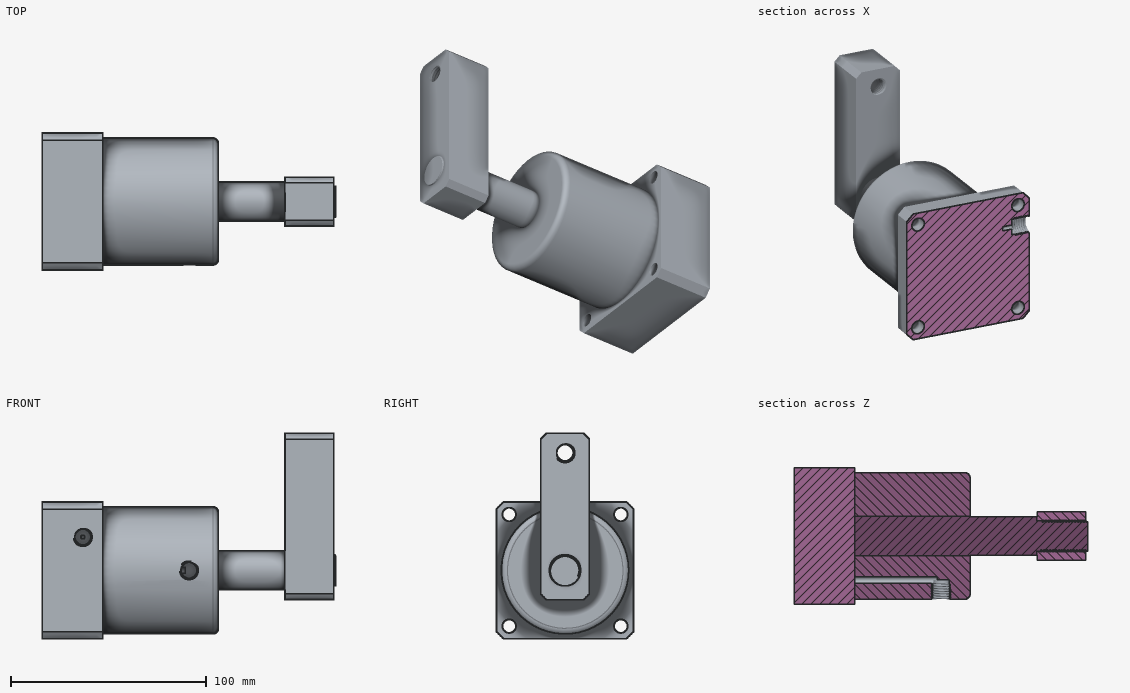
import cadquery as cq
import math

BLOCK_SIDE = 70.0
BLOCK_LENGTH = 31.0
BLOCK_CHAMFER = 3.7
BOLT_SPACING = 57.0
BOLT_HOLE_DIAMETER = 6.8

BARREL_DIAMETER = 65.0
BARREL_END = 90.0
BARREL_FILLET = 3.0

ROD_DIAMETER = 20.0

ARM_WIDTH = 25.0
ARM_START = 124.0
ARM_THICKNESS = 25.0
ARM_BOTTOM = -15.0
ARM_TOP = 70.0
ARM_CHAMFER = 3.0
ARM_HOLE_HEIGHT = 60.0

STUD_DIAMETER = 16.0
STUD_PITCH = 1.5
STUD_PROTRUSION = 1.0

TAP_DIAMETER = 10.0
TAP_PITCH = 1.5
TAP_START_ANGLE = 120.0

PORT_DIAMETER = 9.5
PORT_PITCH = 1.25
PORT_DEPTH = 10.0
BLOCK_PORT_X = 20.8
BLOCK_PORT_Z = 17.0
BARREL_PORT_X = 75.0
BLOCK_PASSAGE_DIAMETER = 2.0
BLOCK_PASSAGE_DEPTH = 5.0
BARREL_PASSAGE_DIAMETER = 3.0
BARREL_PASSAGE_END = 73.0

THREAD_DEPTH_RATIO = 0.54
ROOT_WIDTH_RATIO = 0.125
MOUTH_WIDTH_RATIO = 0.8
MOUTH_OVERCUT = 0.1
RUNOUT_RATIO = 0.35

ARM_END = ARM_START + ARM_THICKNESS
STUD_END = ARM_END + STUD_PROTRUSION


def cylinder(diameter, start, length, direction):
    return cq.Solid.makeCylinder(diameter / 2, length, cq.Vector(*start), cq.Vector(*direction))


def minor_diameter(major, pitch):
    return major - 2 * THREAD_DEPTH_RATIO * pitch


def thread_groove(narrow_radius, mouth_radius, pitch, length):
    """Helical V groove along +Z from the origin, narrow at one radius and open at the other."""
    outward = math.copysign(1.0, mouth_radius - narrow_radius)
    narrow_half = pitch * ROOT_WIDTH_RATIO / 2
    mouth_half = pitch * MOUTH_WIDTH_RATIO / 2
    path = cq.Wire.makeHelix(pitch, length, narrow_radius)
    profile = cq.Workplane("XZ").polyline([
        (narrow_radius, -narrow_half),
        (mouth_radius + outward * MOUTH_OVERCUT, -mouth_half),
        (mouth_radius + outward * MOUTH_OVERCUT, mouth_half),
        (narrow_radius, narrow_half),
    ]).close()
    return profile.sweep(cq.Workplane(path), isFrenet=True)


def cut_tapped_hole(body, start, plane_x, direction, diameter, pitch, depth, groove_length):
    """Cut the helical thread to the major diameter, then drill the core at the minor diameter."""
    minor = minor_diameter(diameter, pitch)
    axis = cq.Vector(*direction)
    mouth = cq.Vector(*start)
    groove = thread_groove(diameter / 2, minor / 2, pitch, pitch + groove_length)
    plane = cq.Plane(mouth - axis * pitch, plane_x, direction)
    groove_solid = groove.val().moved(cq.Location(plane))
    core = cylinder(minor, start, depth, direction)
    return body.cut(cq.Workplane(groove_solid)).cut(cq.Workplane(core))


def make_block():
    block = (
        cq.Workplane("YZ").rect(BLOCK_SIDE, BLOCK_SIDE).extrude(BLOCK_LENGTH)
        .edges("|X").chamfer(BLOCK_CHAMFER)
        .faces("<X").workplane(origin=(0, 0, 0))
        .rect(BOLT_SPACING, BOLT_SPACING, forConstruction=True).vertices()
        .hole(BOLT_HOLE_DIAMETER)
    )
    mouth = (BLOCK_PORT_X, -BLOCK_SIDE / 2, BLOCK_PORT_Z)
    block = cut_tapped_hole(block, mouth, (1, 0, 0), (0, 1, 0),
                            PORT_DIAMETER, PORT_PITCH, PORT_DEPTH, PORT_DEPTH - PORT_PITCH)
    floor = (BLOCK_PORT_X, -BLOCK_SIDE / 2 + PORT_DEPTH, BLOCK_PORT_Z)
    passage = cylinder(BLOCK_PASSAGE_DIAMETER, floor, BLOCK_PASSAGE_DEPTH, (0, 1, 0))
    return block.cut(cq.Workplane(passage))


def make_barrel():
    barrel = (
        cq.Workplane("YZ").workplane(offset=BLOCK_LENGTH)
        .circle(BARREL_DIAMETER / 2).extrude(BARREL_END - BLOCK_LENGTH)
        .faces(">X").edges().fillet(BARREL_FILLET)
        .faces(">X").workplane().hole(ROD_DIAMETER)
    )
    mouth = (BARREL_PORT_X, -BARREL_DIAMETER / 2, 0)
    barrel = cut_tapped_hole(barrel, mouth, (1, 0, 0), (0, 1, 0),
                             PORT_DIAMETER, PORT_PITCH, PORT_DEPTH, PORT_DEPTH - PORT_PITCH)
    passage_start = (BLOCK_LENGTH, -BARREL_DIAMETER / 2 + PORT_DEPTH, 0)
    passage_length = BARREL_PASSAGE_END - BLOCK_LENGTH
    passage = cylinder(BARREL_PASSAGE_DIAMETER, passage_start, passage_length, (1, 0, 0))
    return barrel.cut(cq.Workplane(passage))


def make_rod():
    rod = (
        cq.Workplane("YZ").workplane(offset=BLOCK_LENGTH)
        .circle(ROD_DIAMETER / 2).extrude(ARM_START - BLOCK_LENGTH)
        .faces(">X").workplane().circle(STUD_DIAMETER / 2).extrude(STUD_END - ARM_START)
    )
    minor = minor_diameter(STUD_DIAMETER, STUD_PITCH)
    groove_start = ARM_START + STUD_PITCH
    groove_length = STUD_END + RUNOUT_RATIO * STUD_PITCH - groove_start
    groove = thread_groove(minor / 2, STUD_DIAMETER / 2, STUD_PITCH, groove_length)
    plane = cq.Plane((groove_start, 0, 0), (0, 1, 0), (1, 0, 0))
    return rod.cut(cq.Workplane(groove.val().moved(cq.Location(plane))))


def make_arm():
    arm = (
        cq.Workplane("XY")
        .box(ARM_THICKNESS, ARM_WIDTH, ARM_TOP - ARM_BOTTOM, centered=(False, True, False))
        .edges("|X").chamfer(ARM_CHAMFER)
        .translate((ARM_START, 0, ARM_BOTTOM))
    )
    stud_hole = cylinder(STUD_DIAMETER, (ARM_START, 0, 0), ARM_THICKNESS, (1, 0, 0))
    arm = arm.cut(cq.Workplane(stud_hole))
    start_angle = math.radians(TAP_START_ANGLE)
    thread_start = (0, math.cos(start_angle), math.sin(start_angle))
    return cut_tapped_hole(arm, (ARM_START, 0, ARM_HOLE_HEIGHT), thread_start, (1, 0, 0),
                           TAP_DIAMETER, TAP_PITCH, ARM_THICKNESS, ARM_THICKNESS + RUNOUT_RATIO * TAP_PITCH)


block = make_block()
barrel = make_barrel()
rod = make_rod()
arm = make_arm()

result = cq.Compound.makeCompound([block.val(), barrel.val(), rod.val(), arm.val()])